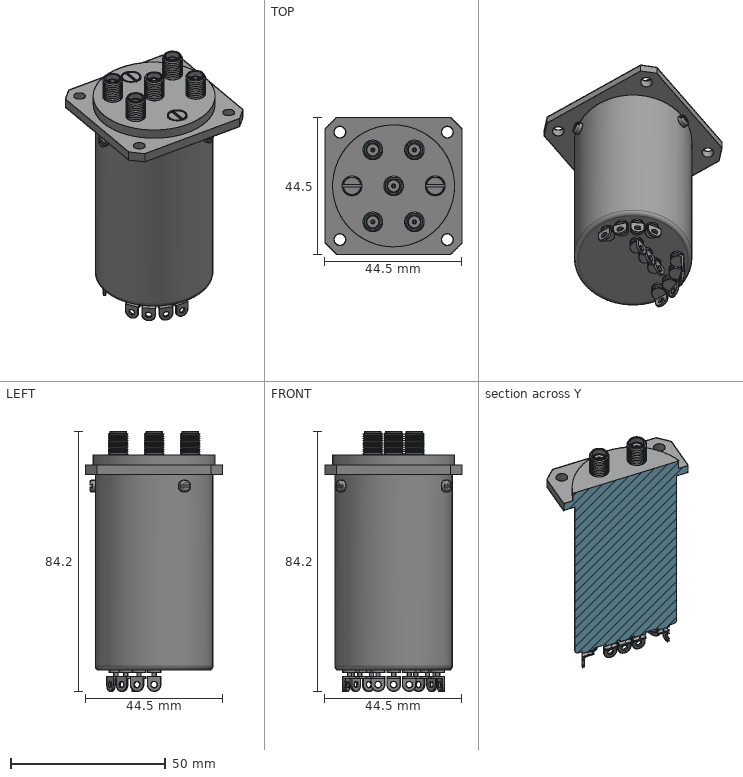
import cadquery as cq
import math


overall_height = 84.2
flange_side = 44.45
flange_thickness = 3.2
flange_corner_cut = 3.75
flange_hole_diameter = 3.7
flange_hole_spacing = 34.8
cover_diameter = 39.5
cover_thickness = 3.2
can_diameter = 38.1
can_bottom_fillet = 1.3

connector_circle_radius = 13.46
connector_angles = (60, 120, 240, 300)
connector_height = 7.6
thread_diameter = 6.35
thread_pitch = 25.4 / 36
thread_depth = 0.4
thread_count = 10
connector_tip_diameter = 5.4
connector_bore_diameter = 4.4
connector_bore_depth = 1.9
dielectric_diameter = 3.9
dielectric_recess = 0.2
contact_diameter = 1.27
contact_hole_diameter = 0.8
contact_hole_depth = 2.5
contact_rise = 0.1

cover_screw_diameter = 6.4
cover_screw_head_height = 1.5
cover_screw_chamfer = 0.4
cover_screw_slot_width = 0.75
cover_screw_slot_depth = 0.6

side_screw_angles = (90, 210, 330)
side_screw_drop = 3.7
side_screw_diameter = 3.8
side_screw_fillet = 0.65
side_screw_rise = 1.75
side_screw_slot_width = 0.7
side_screw_slot_depth = 0.75

terminal_circle_radius = 14.3
terminal_angles = (0, 20, 40, 60, 120, 140, 160, 180)
inner_terminal_pitch = 5.05
inner_terminal_y = 4.9
terminal_width = 4.4
terminal_drop = 6.85
terminal_thickness = 0.7
terminal_hole_diameter = 2.0
washer_thickness = 0.75
pin_diameter = 1.4
pin_length = 2.0

flange_top = flange_thickness
cover_top = flange_top + cover_thickness
can_bottom = cover_top + connector_height + terminal_drop - overall_height
bore_floor = connector_height - connector_bore_depth
dielectric_height = bore_floor - dielectric_recess
terminal_radius = terminal_width / 2


def cylinder(diameter, height, base_z):
    return cq.Workplane("XY").workplane(offset=base_z).circle(diameter / 2).extrude(height)


def make_can():
    return cylinder(can_diameter, -can_bottom, can_bottom).faces("<Z").edges().fillet(can_bottom_fillet)


def make_flange():
    return (
        cq.Workplane("XY")
        .rect(flange_side, flange_side)
        .extrude(flange_thickness)
        .edges("|Z")
        .chamfer(flange_corner_cut)
        .faces(">Z")
        .workplane()
        .rect(flange_hole_spacing, flange_hole_spacing, forConstruction=True)
        .vertices()
        .hole(flange_hole_diameter)
    )


def make_connector():
    """Threaded barrel with ring-shaped teeth, open at the top, standing on Z = 0."""
    crest = thread_diameter / 2
    root = crest - thread_depth
    tip = connector_tip_diameter / 2
    profile = cq.Workplane("XZ").lineTo(root, 0)
    for tooth in range(thread_count):
        base = tooth * thread_pitch
        profile = profile.lineTo(crest, base + thread_pitch / 2).lineTo(root, base + thread_pitch)
    profile = profile.lineTo(tip, thread_count * thread_pitch + (root - tip))
    profile = profile.lineTo(tip, connector_height).lineTo(0, connector_height).close()
    barrel = profile.revolve(360, (0, 0, 0), (0, 1, 0))
    bore = cylinder(connector_bore_diameter, connector_bore_depth, bore_floor)
    recess = cylinder(dielectric_diameter, dielectric_recess, dielectric_height)
    contact = cylinder(contact_diameter, contact_rise, dielectric_height)
    contact_top = dielectric_height + contact_rise
    contact_hole = cylinder(contact_hole_diameter, contact_hole_depth, contact_top - contact_hole_depth)
    return barrel.cut(bore).cut(recess).union(contact).cut(contact_hole)


def add_cover_screw(body, x):
    """Replace a disc of the cover with a slotted screw head that is flush with the cover."""
    base_z = cover_top - cover_screw_head_height
    recess = cylinder(cover_screw_diameter, cover_screw_head_height, base_z)
    head = recess.faces(">Z").edges().chamfer(cover_screw_chamfer)
    slot = (
        cq.Workplane("XY")
        .workplane(offset=cover_top - cover_screw_slot_depth)
        .rect(2 * cover_screw_diameter, cover_screw_slot_width)
        .extrude(cover_screw_slot_depth)
    )
    head = head.cut(slot)
    return body.cut(recess.translate((x, 0, 0))).union(head.translate((x, 0, 0)))


def make_side_screw(angle):
    """Slotted head whose axis is radial, rooted inside the can."""
    can_radius = can_diameter / 2
    head_end = can_radius + side_screw_rise
    head_length = 2 * side_screw_rise
    head = (
        cq.Workplane("YZ")
        .workplane(offset=head_end - head_length)
        .circle(side_screw_diameter / 2)
        .extrude(head_length)
        .faces(">X")
        .edges()
        .fillet(side_screw_fillet)
    )
    slot = cq.Workplane("XY").box(2 * side_screw_slot_depth, side_screw_diameter, side_screw_slot_width)
    head = head.cut(slot.translate((head_end, 0, 0)))
    return head.translate((0, 0, -side_screw_drop)).rotate((0, 0, 0), (0, 0, 1), angle)


def make_terminal():
    """Washer, pin and bent solder lug hanging from Z = 0; the lug's leg is on the +X side."""
    washer = cylinder(terminal_width, -washer_thickness, 0)
    pin = cylinder(pin_diameter, -pin_length, 0)
    tab = (
        cq.Workplane("XY")
        .workplane(offset=-pin_length)
        .moveTo(terminal_radius, -terminal_radius)
        .lineTo(0, -terminal_radius)
        .threePointArc((-terminal_radius, 0), (0, terminal_radius))
        .lineTo(terminal_radius, terminal_radius)
        .close()
        .extrude(-terminal_thickness)
    )
    eye_z = terminal_radius - terminal_drop
    leg = (
        cq.Workplane("YZ")
        .workplane(offset=terminal_radius - terminal_thickness)
        .moveTo(-terminal_radius, -pin_length)
        .lineTo(-terminal_radius, eye_z)
        .threePointArc((0, -terminal_drop), (terminal_radius, eye_z))
        .lineTo(terminal_radius, -pin_length)
        .close()
        .moveTo(0, eye_z)
        .circle(terminal_hole_diameter / 2)
        .extrude(terminal_thickness)
    )
    return washer.union(pin).union(tab).union(leg)


def add_connectors(body):
    connector = make_connector().translate((0, 0, cover_top))
    body = body.union(connector)
    for angle in connector_angles:
        x = connector_circle_radius * math.cos(math.radians(angle))
        y = connector_circle_radius * math.sin(math.radians(angle))
        body = body.union(connector.translate((x, y, 0)))
    return body


def add_terminals(body):
    terminal = make_terminal().translate((0, 0, can_bottom))
    outer_terminal = terminal.translate((terminal_circle_radius, 0, 0))
    for angle in terminal_angles:
        body = body.union(outer_terminal.rotate((0, 0, 0), (0, 0, 1), angle))
    inner_terminal = terminal.rotate((0, 0, 0), (0, 0, 1), 90)
    for step in (-1, 0, 1):
        body = body.union(inner_terminal.translate((step * inner_terminal_pitch, inner_terminal_y, 0)))
    return body


body = make_can().union(make_flange()).union(cylinder(cover_diameter, cover_thickness, flange_top))
for screw_x in (-connector_circle_radius, connector_circle_radius):
    body = add_cover_screw(body, screw_x)
for screw_angle in side_screw_angles:
    body = body.union(make_side_screw(screw_angle))
body = add_connectors(body)
result = add_terminals(body)